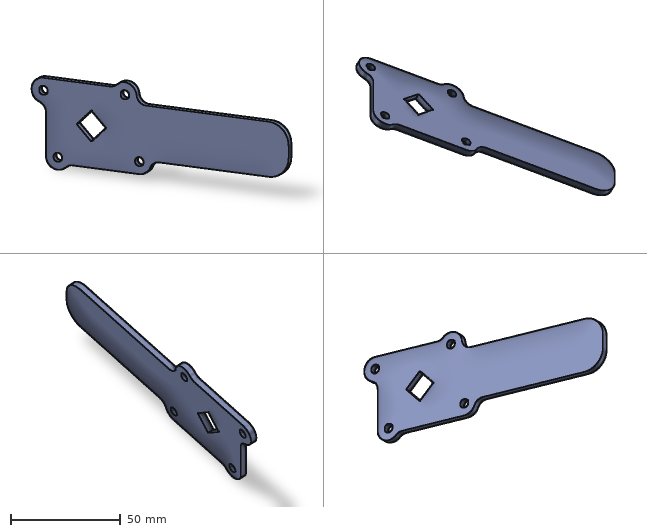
import cadquery as cq
import math

thickness = 3.3
length = 130.2
ear_radius = 6.0
ear_hole_diameter = 4.3
square_side = 10.4
blend_radius = 5.0
arm_half_height = 13.1
arm_corner_radius = 10.0
joint_tolerance = 0.001

corner_ear_x = 48.5 / 2
corner_ear_z = 28.0 / 2
offset_ear = 34.0 / 2

upper_left = (-corner_ear_x, corner_ear_z)
upper_right = (offset_ear, offset_ear)
lower_left = (-offset_ear, -offset_ear)
lower_right = (corner_ear_x, -corner_ear_z)

body_half_height = corner_ear_z + ear_radius
body_left = -offset_ear - ear_radius
arm_right = length - corner_ear_x - ear_radius
arm_corner_x = arm_right - arm_corner_radius
arm_corner_z = arm_half_height - arm_corner_radius

centre_distance = ear_radius + blend_radius


def blend_over_edge(ear, edge_z, side):
    """Centre of a blend outside a horizontal edge, left (-1) or right (1) of an ear."""
    centre_z = edge_z + math.copysign(blend_radius, edge_z)
    reach = math.sqrt(centre_distance**2 - (centre_z - ear[1])**2)
    return (ear[0] + side * reach, centre_z)


top_blend = blend_over_edge(upper_right, body_half_height, -1)
arm_top_blend = blend_over_edge(upper_right, arm_half_height, 1)
arm_bottom_blend = blend_over_edge(lower_right, -arm_half_height, 1)
bottom_blend = blend_over_edge(lower_left, -body_half_height, 1)

left_blend_x = body_left - blend_radius
left_blend_drop = math.sqrt(centre_distance**2 - (left_blend_x - upper_left[0])**2)
left_blend = (left_blend_x, corner_ear_z - left_blend_drop)


def heading(start, end):
    """Angle in degrees of the direction from start to end."""
    return math.degrees(math.atan2(end[1] - start[1], end[0] - start[0]))


def on_circle(centre, radius, angle):
    turn = math.radians(angle)
    return (centre[0] + radius * math.cos(turn), centre[1] + radius * math.sin(turn))


def shortest_turn(start_angle, end_angle):
    """Signed turn between two angles, at most half a circle."""
    return (end_angle - start_angle + 180) % 360 - 180


arm_upper_corner = (arm_corner_x, arm_corner_z)
arm_lower_corner = (arm_corner_x, -arm_corner_z)
boundary_arcs = [
    (upper_left, ear_radius, heading(upper_left, left_blend), 90),
    (top_blend, blend_radius, -90, heading(top_blend, upper_right)),
    (upper_right, ear_radius, heading(upper_right, top_blend), heading(upper_right, arm_top_blend)),
    (arm_top_blend, blend_radius, heading(arm_top_blend, upper_right), -90),
    (arm_upper_corner, arm_corner_radius, 90, 0),
    (arm_lower_corner, arm_corner_radius, 0, -90),
    (arm_bottom_blend, blend_radius, 90, heading(arm_bottom_blend, lower_right)),
    (lower_right, ear_radius, heading(lower_right, arm_bottom_blend), -90),
    (bottom_blend, blend_radius, 90, heading(bottom_blend, lower_left)),
    (lower_left, ear_radius, heading(lower_left, bottom_blend), -180),
    (left_blend, blend_radius, 0, heading(left_blend, upper_left)),
]


def make_plate():
    first_point = on_circle(*boundary_arcs[0][:3])
    position = first_point
    sketch = cq.Workplane("XZ").moveTo(*first_point)
    for centre, radius, start_angle, end_angle in boundary_arcs:
        start = on_circle(centre, radius, start_angle)
        sweep = shortest_turn(start_angle, end_angle)
        middle = on_circle(centre, radius, start_angle + sweep / 2)
        end = on_circle(centre, radius, end_angle)
        if math.dist(position, start) > joint_tolerance:
            sketch = sketch.lineTo(*start)
        sketch = sketch.threePointArc(middle, end)
        position = end
    return sketch.close().extrude(thickness)


def cut_ear_holes(plate):
    centres = [upper_left, upper_right, lower_left, lower_right]
    holes = cq.Workplane("XZ").pushPoints(centres).circle(ear_hole_diameter / 2).extrude(thickness)
    return plate.cut(holes)


def cut_square_hole(plate):
    """Square hole standing on one corner."""
    hole = cq.Workplane("XZ").transformed(rotate=(0, 0, 45)).rect(square_side, square_side)
    return plate.cut(hole.extrude(thickness))


result = cut_square_hole(cut_ear_holes(make_plate()))